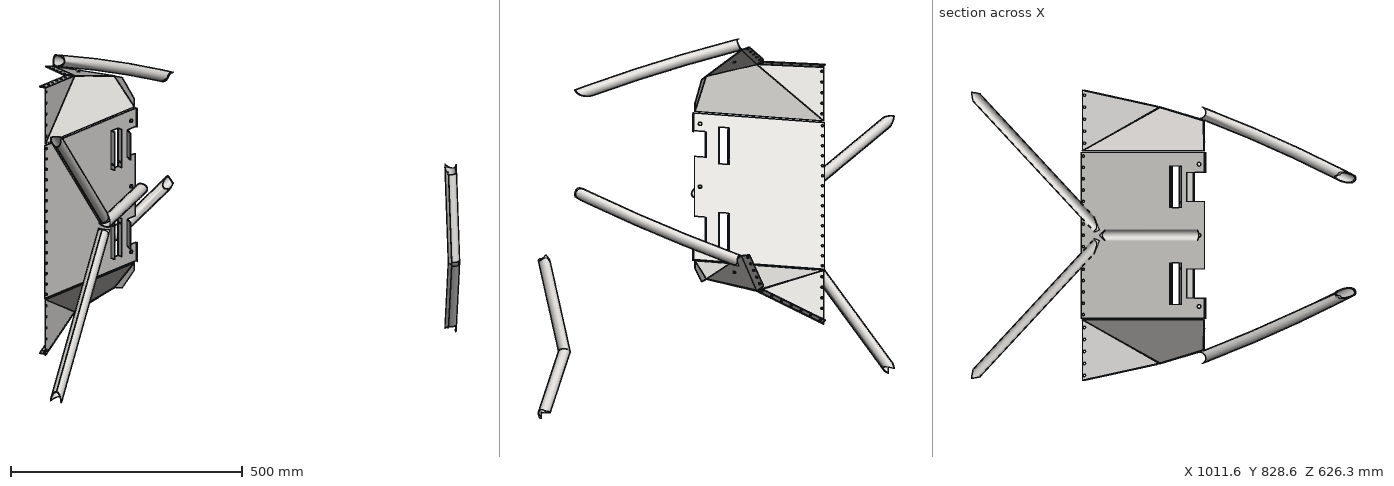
import cadquery as cq
import math


TUBE_RADIUS = 12.7
TUBE_WALL = 1.65
NODE_RADIUS = 22.2
SHEET = 2.0
LONG = 1000.0

CORNER_Y = -275.7
CORNER_Z = 308.5
DIAGONAL_RISE = 11.4
LEVEL_TUBE_END = 214.8
PRONG_DEPTH = math.sqrt(NODE_RADIUS**2 - TUBE_RADIUS**2)
SEAM = 0.6

ARM_START = cq.Vector(-204.4, 216.3, 265.0)
ARM_MIDDLE = cq.Vector(-132.6, 385.1, 195.0)
ARM_END = cq.Vector(-49.4, 580.6, 98.5)
ARM_NODE_X = -54.84
ARM_NODE_Z = 110.0
ARM_TIP_X = -64.0

APEX_X = 777.7
APEX_Y = 90.5
V_LEAN_X = -0.2
V_LEAN_Y = 0.386
V_COPE_Z = 195.0
RELIEF_Z = 178.0
APEX_SLOT = 9.0

PANEL_FOOT = cq.Vector(-122.5, -39.0, 0)
PANEL_DIRECTION = cq.Vector(101.5, 266.0, 0).normalized()
PANEL_LENGTH = 287.0
PANEL_HALF_HEIGHT = 178.8
PANEL_NOSE_STEP = 3.0
PANEL_OVERRUN = 1.0
LIP = 5.0
NOTCH_START = 260.7
NOTCH_LOW = 73.1
NOTCH_HIGH = 135.6
FLAP_LENGTH = 20.0
FLAP_TURN = 62.0
SLOT_START = 209.8
SLOT_WIDTH = 19.5
SLOT_LOW = 59.5
SLOT_HIGH = 149.0
SLOT_FLANGE = 11.0
FLANGE_SPLIT_Z = 71.6
FLANGE_SPLIT = 2.5
PANEL_HOLE = 8.0
PANEL_HOLE_ALONG = 271.7
PANEL_HOLE_Z = 153.3
RIVET_HOLE = 5.0
PANEL_RIVET_ALONG = 4.5
PANEL_RIVET_PITCH = 24.4
PANEL_RIVETS = 15

WING_GAP = 3.4
WALL_X = -122.5
WALL_Y = -37.0
FOOT_Z = PANEL_HALF_HEIGHT + WING_GAP
FOOT_NEAR = cq.Vector(WALL_X, WALL_Y, FOOT_Z)
FOOT_FAR = cq.Vector(-22.5, 225.5, FOOT_Z)
PEAK = cq.Vector(WALL_X, 129.5, 276.5)
WALL_TOP = cq.Vector(WALL_X, WALL_Y, 313.14)
WEB_FAR = cq.Vector(-68.6, 224.0, 247.5)
GUSSET_TIP = cq.Vector(-205.0, 215.0, 251.0)
WALL_FLANGE = 15.0
WALL_FLANGE_INSET = 5.0
WALL_FLANGE_RIVETS = 7
WALL_FLANGE_RIVET_OUT = 8.25
WALL_FLANGE_RIVET_NEAR = 8.5
WALL_FLANGE_RIVET_FAR = 13.6
WALL_RIVETS = 5
WALL_RIVET_PITCH = 25.9
WALL_RIVET_INSET = 4.5
WALL_RIVET_TOP = 11.0
WEB_FLANGE = [cq.Vector(-23.0, 226.0, 201.0), cq.Vector(-51.0, 225.0, 246.5)]
GUSSET_FLANGE = [cq.Vector(-149.3, 128.0, 276.0), cq.Vector(-220.9, 204.0, 252.0)]
GUSSET_RIVETS = 5
GUSSET_RIVET_FIRST = cq.Vector(-211.0, 202.5, 0)
GUSSET_RIVET_LAST = cq.Vector(-149.5, 138.0, 0)
GUSSET_HOLE = 6.0
GUSSET_HOLE_AT = cq.Vector(-140.5, 195.5, 0)

X_AXIS = cq.Vector(1, 0, 0)
Y_AXIS = cq.Vector(0, 1, 0)
Z_AXIS = cq.Vector(0, 0, 1)
ORIGIN = cq.Vector(0, 0, 0)
PANEL_NORMAL = PANEL_DIRECTION.cross(Z_AXIS)


def cylinder(radius, start, direction, length=LONG):
    return cq.Workplane(cq.Solid.makeCylinder(radius, length, start, direction))


def cutter(radius, centre, direction):
    """A long cylinder centred on a point."""
    return cylinder(radius, centre - direction.normalized() * (LONG / 2), direction)


def sheet_hole(spot, direction):
    """A rivet hole cutter that passes through one sheet."""
    unit = direction.normalized()
    return cylinder(RIVET_HOLE / 2, spot - unit * SHEET, unit, 2 * SHEET)


def tube(start, end):
    direction = end - start
    outer = cylinder(TUBE_RADIUS, start, direction, direction.Length)
    return outer.cut(cylinder(TUBE_RADIUS - TUBE_WALL, start, direction, direction.Length))


def seam_cutter(start, end, facing):
    """A thin cutter that opens the side of a tube that faces the given way."""
    direction = end - start
    plane = cq.Plane(origin=start, xDir=direction.cross(facing), normal=direction)
    centre = plane.toLocalCoords(start + facing.normalized() * TUBE_RADIUS)
    slit = cq.Workplane(plane).center(0, centre.y).rect(SEAM, 2 * TUBE_RADIUS)
    return slit.extrude(direction.Length)


def block(x_range, y_range, z_range):
    sizes = [high - low for low, high in (x_range, y_range, z_range)]
    corner = (x_range[0], y_range[0], z_range[0])
    return cq.Workplane("XY").box(*sizes, centered=False).translate(corner)


def plate(points):
    """A flat sheet whose middle plane holds the first three points."""
    across = points[1] - points[0]
    normal = across.cross(points[2] - points[0])
    plane = cq.Plane(origin=points[0], xDir=across, normal=normal)
    outline = [plane.toLocalCoords(point).toTuple()[:2] for point in points]
    return cq.Workplane(plane).polyline(outline).close().extrude(SHEET / 2, both=True)


def spread(first, last, count):
    return [first + (last - first) * (i / (count - 1)) for i in range(count)]


def mirrored(body):
    return body.mirror("XY")


UPRIGHT = cutter(TUBE_RADIUS, ORIGIN, Z_AXIS)


def make_level_tube():
    node_centre = cq.Vector(0, LEVEL_TUBE_END + PRONG_DEPTH, 0)
    body = tube(ORIGIN, node_centre)
    return body.cut(UPRIGHT).cut(cutter(NODE_RADIUS, node_centre, Z_AXIS))


def make_diagonal_tube():
    slope = (CORNER_Z - DIAGONAL_RISE) / CORNER_Y
    overrun = 2 * TUBE_RADIUS
    corner = cq.Vector(0, CORNER_Y - PRONG_DEPTH, CORNER_Z + PRONG_DEPTH)
    low = cq.Vector(0, overrun, DIAGONAL_RISE + slope * overrun)
    high = cq.Vector(0, corner.y, DIAGONAL_RISE + slope * corner.y)
    body = tube(low, high).cut(seam_cutter(low, high, Z_AXIS * -1))
    body = body.cut(block((-LONG, LONG), (0, LONG), (-LONG, LONG))).cut(UPRIGHT)
    body = body.cut(cutter(NODE_RADIUS, corner, Y_AXIS)).cut(cutter(NODE_RADIUS, corner, Z_AXIS))
    body = body.cut(block((-LONG, LONG), (-LONG, LONG), (corner.z, LONG)))
    return body.cut(block((-LONG, LONG), (-LONG, corner.y), (-LONG, LONG)))


def make_arm():
    arc = cq.Edge.makeThreePointArc(ARM_START, ARM_MIDDLE, ARM_END)
    section = cq.Plane(origin=ARM_START, xDir=X_AXIS, normal=arc.tangentAt(0))
    ring = cq.Workplane(section).circle(TUBE_RADIUS).circle(TUBE_RADIUS - TUBE_WALL)
    body = ring.sweep(cq.Workplane(cq.Wire.assembleEdges([arc])))
    body = body.cut(cutter(TUBE_RADIUS, ARM_START, X_AXIS))
    node = cq.Vector(ARM_NODE_X, ARM_END.y, ARM_NODE_Z)
    body = body.cut(cutter(NODE_RADIUS, node, Y_AXIS))
    body = body.cut(block((ARM_TIP_X, LONG), (0, LONG), (-LONG, LONG)))
    return body.cut(block((-LONG, LONG), (0, ARM_START.y), (-LONG, LONG)))


def make_rear_bar():
    def axis_point(height):
        return cq.Vector(APEX_X + V_LEAN_X * height, APEX_Y + V_LEAN_Y * height, height)

    def front_quarter(low, high):
        centre = axis_point((low + high) / 2)
        return block((centre.x, LONG), (centre.y - 2 * TUBE_RADIUS, centre.y), (low, high))

    low_end = axis_point(-2 * TUBE_RADIUS)
    high_end = axis_point(V_COPE_Z)
    leg = tube(low_end, high_end).cut(seam_cutter(low_end, high_end, Y_AXIS * -1))
    leg = leg.cut(block((0, LONG), (-LONG, LONG), (-LONG, 0)))
    leg = leg.cut(cutter(TUBE_RADIUS, high_end, Y_AXIS))
    leg = leg.cut(block((0, LONG), (-LONG, LONG), (V_COPE_Z, LONG)))
    leg = leg.cut(front_quarter(RELIEF_Z, V_COPE_Z))
    bar = leg.union(mirrored(leg))
    return bar.cut(front_quarter(-APEX_SLOT / 2, APEX_SLOT / 2))


def panel_point(along, height, off=0.0):
    return PANEL_FOOT + PANEL_DIRECTION * along + Z_AXIS * height + PANEL_NORMAL * off


def panel_strip(along, low, high, direction, length):
    """A sheet standing on the panel along a line parallel to Z."""
    base = [panel_point(along, low), panel_point(along, high)]
    return plate(base + [point + direction * length for point in reversed(base)])


def panel_window(start, end, low, high):
    """A cutter through the panel."""
    corners = [(start, low), (end, low), (end, high), (start, high)]
    plane = cq.Plane(origin=PANEL_FOOT, xDir=PANEL_DIRECTION, normal=PANEL_NORMAL)
    outline = [plane.toLocalCoords(panel_point(*corner)).toTuple()[:2] for corner in corners]
    return cq.Workplane(plane).polyline(outline).close().extrude(SHEET, both=True)


def panel_holes():
    spots = [(PANEL_HOLE, PANEL_HOLE_ALONG, z) for z in (-PANEL_HOLE_Z, 0, PANEL_HOLE_Z)]
    for i in range(PANEL_RIVETS):
        height = (i - (PANEL_RIVETS - 1) / 2) * PANEL_RIVET_PITCH
        spots.append((RIVET_HOLE, PANEL_RIVET_ALONG, height))
    for diameter, along, height in spots:
        yield cylinder(diameter / 2, panel_point(along, height, -SHEET), PANEL_NORMAL, 2 * SHEET)


def make_panel():
    half = PANEL_HALF_HEIGHT
    corners = [(0, -half), (PANEL_LENGTH, -half), (PANEL_LENGTH, half), (0, half)]
    body = plate([panel_point(*corner) for corner in corners])
    nose = PANEL_LENGTH - PANEL_NOSE_STEP
    past_end = PANEL_LENGTH + PANEL_OVERRUN
    body = body.cut(panel_window(nose, past_end, -NOTCH_HIGH, NOTCH_HIGH))
    turn = math.radians(FLAP_TURN)
    flap_direction = PANEL_NORMAL * math.sin(turn) - PANEL_DIRECTION * math.cos(turn)
    slot_end = SLOT_START + SLOT_WIDTH
    flange_spans = (
        (SLOT_LOW, FLANGE_SPLIT_Z - FLANGE_SPLIT / 2),
        (FLANGE_SPLIT_Z + FLANGE_SPLIT / 2, SLOT_HIGH),
    )
    for side in (1, -1):
        notch = sorted((side * NOTCH_LOW, side * NOTCH_HIGH))
        slot = sorted((side * SLOT_LOW, side * SLOT_HIGH))
        tab = sorted((side * NOTCH_HIGH, side * half))
        body = body.cut(panel_window(NOTCH_START, past_end, *notch))
        body = body.cut(panel_window(SLOT_START, slot_end, *slot))
        flap = panel_strip(NOTCH_START - SHEET / 2, *notch, flap_direction, FLAP_LENGTH)
        lip = panel_strip(PANEL_LENGTH - SHEET / 2, *tab, PANEL_NORMAL, LIP)
        body = body.union(flap).union(lip)
        for along in (SLOT_START - SHEET / 2, slot_end + SHEET / 2):
            for span in flange_spans:
                ends = sorted(side * z for z in span)
                body = body.union(panel_strip(along, *ends, PANEL_NORMAL, SLOT_FLANGE))
    for hole in panel_holes():
        body = body.cut(hole)
    return body


def wing_holes():
    edge = (WALL_TOP - PEAK).normalized()
    out = X_AXIS * -WALL_FLANGE_RIVET_OUT
    first = PEAK + out + edge * WALL_FLANGE_RIVET_NEAR
    last = WALL_TOP + out - edge * WALL_FLANGE_RIVET_FAR
    for spot in spread(first, last, WALL_FLANGE_RIVETS):
        yield sheet_hole(spot, edge.cross(X_AXIS))
    for i in range(WALL_RIVETS):
        height = WALL_TOP.z - WALL_RIVET_TOP - i * WALL_RIVET_PITCH
        yield sheet_hole(cq.Vector(WALL_X, WALL_Y + WALL_RIVET_INSET, height), X_AXIS)
    for spot in spread(GUSSET_RIVET_FIRST, GUSSET_RIVET_LAST, GUSSET_RIVETS):
        yield cylinder(RIVET_HOLE / 2, spot, Z_AXIS)
    yield cylinder(GUSSET_HOLE / 2, GUSSET_HOLE_AT, Z_AXIS)


def make_wing():
    inset = (WALL_TOP - PEAK).normalized() * WALL_FLANGE_INSET
    out = X_AXIS * -WALL_FLANGE
    flange_near = PEAK + inset
    flange_far = WALL_TOP - inset
    body = plate([FOOT_NEAR, FOOT_FAR, WEB_FAR, PEAK])
    body = body.union(plate([FOOT_NEAR, PEAK, WALL_TOP]))
    body = body.union(plate([GUSSET_TIP, WEB_FAR, PEAK]))
    body = body.union(plate([WEB_FAR, FOOT_FAR] + WEB_FLANGE))
    body = body.union(plate([GUSSET_TIP, PEAK] + GUSSET_FLANGE))
    body = body.union(plate([flange_near, flange_far, flange_far + out, flange_near + out]))
    for hole in wing_holes():
        body = body.cut(hole)
    return body


level_tube = make_level_tube()
diagonal = make_diagonal_tube()
arm = make_arm()
rear_bar = make_rear_bar()
panel = make_panel()
wing = make_wing()

bodies = [level_tube, rear_bar, panel]
for body in (diagonal, arm, wing):
    bodies += [body, mirrored(body)]
result = cq.Compound.makeCompound([solid for body in bodies for solid in body.solids().vals()])